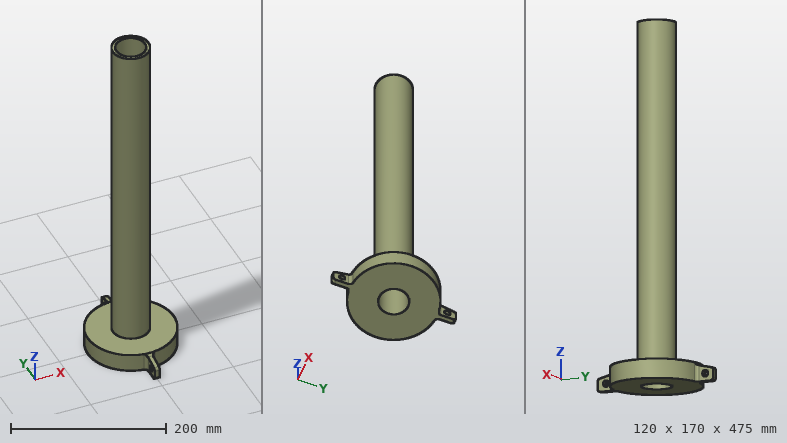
import cadquery as cq
import math

total_height = 475.0
tube_diameter = 50.0
bore_diameter = 40.0
base_diameter = 120.0
base_height = 25.0

lug_span = 170.0
lug_thickness = 7.0
lug_tip_height = 16.5
lug_slope_angle = 13.0
lug_corner_radius = 4.0
lug_root_radius = 4.8
lug_rise_radius = 4.0
pin_hole_diameter = 8.0
pin_hole_spacing = 146.0
pin_hole_height = 10.0

base_radius = base_diameter / 2
lug_tip = lug_span / 2
half_thickness = lug_thickness / 2
lug_inner = (tube_diameter + base_diameter) / 4

root_center_x = half_thickness + lug_root_radius
root_center_y = math.sqrt((base_radius + lug_root_radius) ** 2 - root_center_x ** 2)
wall_contact_ratio = base_radius / (base_radius + lug_root_radius)
wall_contact_x = root_center_x * wall_contact_ratio
wall_contact_y = root_center_y * wall_contact_ratio


def slope_height(y):
    """Height of the lug's sloping top edge at distance y from the axis."""
    return lug_tip_height + (lug_tip - y) * math.tan(math.radians(lug_slope_angle))


def lug_plan():
    """Lug seen along Z, flaring into the base with concave fillets."""
    contact_angle = math.atan2(root_center_y, root_center_x)
    middle_angle = math.pi + contact_angle / 2
    middle_x = root_center_x + lug_root_radius * math.cos(middle_angle)
    middle_y = root_center_y + lug_root_radius * math.sin(middle_angle)
    return (
        cq.Workplane("XY")
        .moveTo(wall_contact_x, lug_inner)
        .lineTo(wall_contact_x, wall_contact_y)
        .threePointArc((middle_x, middle_y), (half_thickness, root_center_y))
        .lineTo(half_thickness, lug_tip)
        .lineTo(-half_thickness, lug_tip)
        .lineTo(-half_thickness, root_center_y)
        .threePointArc((-middle_x, middle_y), (-wall_contact_x, wall_contact_y))
        .lineTo(-wall_contact_x, lug_inner)
        .close()
        .extrude(base_height)
    )


def lug_side():
    """Lug seen along X: sloping top, rounded tip and curved rise to the base."""
    slope = math.radians(lug_slope_angle)
    center_y = base_radius + lug_rise_radius
    center_z = slope_height(center_y) + lug_rise_radius / math.cos(slope)
    middle_angle = (slope + math.pi / 2) / 2
    slope_contact, middle = [
        (center_y - lug_rise_radius * math.sin(angle), center_z - lug_rise_radius * math.cos(angle))
        for angle in (slope, middle_angle)
    ]
    profile = (
        cq.Workplane("YZ")
        .moveTo(lug_inner, 0)
        .lineTo(lug_tip, 0)
        .lineTo(lug_tip, lug_tip_height)
        .lineTo(*slope_contact)
        .threePointArc(middle, (base_radius, center_z))
        .lineTo(lug_inner, center_z)
        .close()
        .extrude(wall_contact_x, both=True)
    )
    return profile.faces(">Y").edges("|X").fillet(lug_corner_radius)


def lug():
    pin_hole = (
        cq.Workplane("YZ")
        .center(pin_hole_spacing / 2, pin_hole_height)
        .circle(pin_hole_diameter / 2)
        .extrude(lug_thickness, both=True)
    )
    return lug_plan().intersect(lug_side()).cut(pin_hole)


base = cq.Workplane("XY").circle(base_radius).extrude(base_height)
tube = cq.Workplane("XY").circle(tube_diameter / 2).extrude(total_height)
bore = cq.Workplane("XY").circle(bore_diameter / 2).extrude(total_height)

result = base.union(tube).cut(bore)
for angle in (0, 180):
    result = result.union(lug().rotate((0, 0, 0), (0, 0, 1), angle))